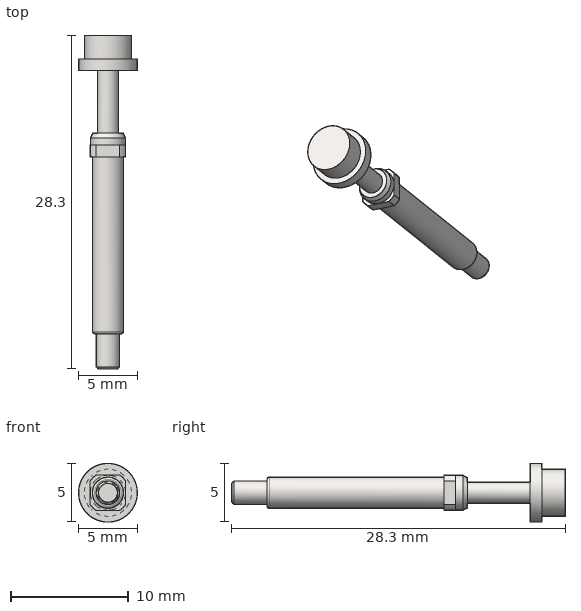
import cadquery as cq
import math

total_length = 28.3
head_length = 2.0
flange_length = 1.0
neck_length = 5.3
collar_taper_length = 0.4
collar_round_length = 0.6
collar_flats_length = 1.0
barrel_length = 15.0
barrel_fillet = 0.2
tip_chamfer = 0.2

head_diameter = 4.0
flange_diameter = 5.0
neck_diameter = 1.8
collar_diameter = 2.98
collar_entry_diameter = 2.6
barrel_diameter = 2.65
tip_diameter = 2.0

flats_across = 3.0
flat_width = 2.0
corner_diameter = math.hypot(flats_across, flat_width)

flange_start = -head_length
neck_start = flange_start - flange_length
collar_start = neck_start - neck_length
collar_round_start = collar_start - collar_taper_length
flats_start = collar_round_start - collar_round_length
barrel_start = flats_start - collar_flats_length
tip_start = barrel_start - barrel_length
tip_end = -total_length


def cylinder(diameter, start, end):
    """Cylinder about the Y axis running from start down to end."""
    return cq.Workplane("XZ", origin=(0, start, 0)).circle(diameter / 2).extrude(start - end)


def collar_taper():
    """Cone leading from the neck side out to the full collar diameter."""
    return (
        cq.Workplane("XZ", origin=(0, collar_start, 0))
        .circle(collar_entry_diameter / 2)
        .workplane(offset=collar_taper_length)
        .circle(collar_diameter / 2)
        .loft()
    )


def wrench_section():
    """Square block whose corners are rounded by a cylinder about the pin axis."""
    square = (
        cq.Workplane("XZ", origin=(0, flats_start, 0))
        .rect(flats_across, flats_across)
        .extrude(collar_flats_length)
    )
    return square.intersect(cylinder(corner_diameter, flats_start, barrel_start))


def barrel():
    """Long barrel with its -Y rim rounded."""
    return cylinder(barrel_diameter, barrel_start, tip_start).faces("<Y").edges().fillet(barrel_fillet)


def tip():
    """Slim contact tip with its -Y rim chamfered."""
    return cylinder(tip_diameter, tip_start, tip_end).faces("<Y").edges().chamfer(tip_chamfer)


result = (
    cylinder(head_diameter, 0, flange_start)
    .union(cylinder(flange_diameter, flange_start, neck_start))
    .union(cylinder(neck_diameter, neck_start, collar_start))
    .union(collar_taper())
    .union(cylinder(collar_diameter, collar_round_start, flats_start))
    .union(wrench_section())
    .union(barrel())
    .union(tip())
)